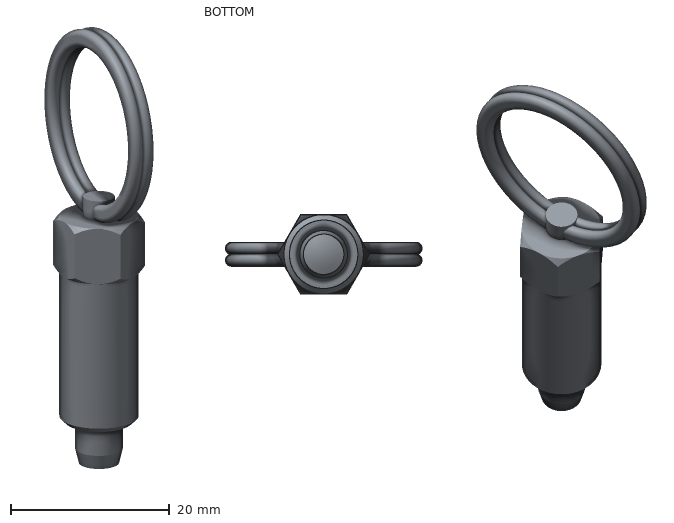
import cadquery as cq
import math

body_diameter = 10.0
body_radius = body_diameter / 2
body_chamfer = 0.7
body_length = 20.0
pin_diameter = 6.0
pin_radius = pin_diameter / 2
pin_length = 6.0
tip_radius = 2.55
tip_dome_height = 0.45
tip_taper_height = 1.9
hex_height = 7.4
hex_corner_diameter = body_diameter / math.cos(math.pi / 6)
hex_corner_chamfer = hex_corner_diameter / 2 - body_radius
stud_diameter = 4.0
stud_height = 2.6

overall_height = 57.9
ring_outer_radius = 12.4
wire_width = 1.5
wire_depth = 2.3

taper_top = tip_dome_height + tip_taper_height
hex_bottom = pin_length + body_length
hex_top = hex_bottom + hex_height
ring_center_height = overall_height - ring_outer_radius


def make_pin_and_barrel():
    """Turned barrel with a tapered pin that ends in a shallow dome."""
    dome_radius = (tip_radius**2 + tip_dome_height**2) / (2 * tip_dome_height)
    dome_mid_x = tip_radius / 2
    dome_mid_z = dome_radius - math.sqrt(dome_radius**2 - dome_mid_x**2)
    return (
        cq.Workplane("XZ")
        .moveTo(0, 0)
        .threePointArc((dome_mid_x, dome_mid_z), (tip_radius, tip_dome_height))
        .lineTo(pin_radius, taper_top)
        .lineTo(pin_radius, pin_length)
        .lineTo(body_radius - body_chamfer, pin_length)
        .lineTo(body_radius, pin_length + body_chamfer)
        .lineTo(body_radius, hex_bottom)
        .lineTo(0, hex_bottom)
        .close()
        .revolve(360, (0, 0), (0, 1))
    )


def make_hex_head():
    """Hexagon with its corners turned down at 45 degrees at both ends."""
    hexagon = (
        cq.Workplane("XY", origin=(0, 0, hex_bottom))
        .polygon(6, hex_corner_diameter)
        .extrude(hex_height)
    )
    corner_envelope = (
        cq.Workplane("XY", origin=(0, 0, hex_bottom))
        .circle(hex_corner_diameter / 2)
        .extrude(hex_height)
        .edges()
        .chamfer(hex_corner_chamfer)
    )
    return hexagon.intersect(corner_envelope)


def make_stud():
    """Round stud on the hexagon that holds the ring."""
    return cq.Workplane("XY", origin=(0, 0, hex_top)).circle(stud_diameter / 2).extrude(stud_height)


def make_wire_loop(offset_y):
    """One closed loop of obround wire, centred at the given Y."""
    section_radius = ring_outer_radius - wire_depth / 2
    return (
        cq.Workplane("XY", origin=(0, 0, ring_center_height))
        .center(section_radius, offset_y)
        .slot2D(wire_depth, wire_width)
        .revolve(360, (-section_radius, 0), (-section_radius, 1))
    )


def make_ring():
    """Two wire loops joined along their flat sides."""
    return make_wire_loop(-wire_width / 2).union(make_wire_loop(wire_width / 2))


ring = make_ring()
plunger = make_pin_and_barrel().union(make_hex_head()).union(make_stud()).cut(ring)

result = cq.Compound.makeCompound([plunger.val(), ring.val()])